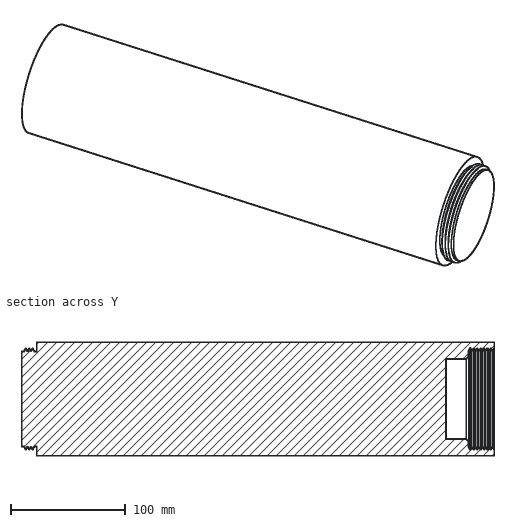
import cadquery as cq

total_length = 412.5
body_length = 399.5
body_radius = 99.5 / 2

crest_radius = 88.7 / 2
root_radius = 83.5 / 2
ring_pitch = 3.0

spigot_ring_count = 3
spigot_ring_start = body_length + 2.0

groove_count = 7
first_groove_start = ring_pitch / 2
socket_depth = first_groove_start + groove_count * ring_pitch

bore_radius = 69.7 / 2
bore_chamfer = 2.0
bore_end = 42.0


def cylinder(start, end, radius):
    return cq.Workplane("YZ", origin=(start, 0, 0)).circle(radius).extrude(end - start)


def cone(start, end, start_radius, end_radius):
    circle = cq.Workplane("YZ", origin=(start, 0, 0)).circle(start_radius)
    return circle.workplane(offset=end - start).circle(end_radius).loft()


def ringed_cylinder(start, ring_count):
    """Solid cylinder of root radius covered end to end with V rings."""
    profile = cq.Workplane("XY").moveTo(start, 0).lineTo(start, root_radius)
    for index in range(ring_count):
        left = start + index * ring_pitch
        profile = profile.lineTo(left + ring_pitch / 2, crest_radius).lineTo(left + ring_pitch, root_radius)
    end = start + ring_count * ring_pitch
    return profile.lineTo(end, 0).close().revolve(360, (0, 0, 0), (1, 0, 0))


body = cylinder(0, body_length, body_radius)

spigot = cylinder(body_length, total_length, root_radius)
spigot = spigot.union(ringed_cylinder(spigot_ring_start, spigot_ring_count))

lead_in = cone(0, first_groove_start, crest_radius, root_radius)
socket = lead_in.union(ringed_cylinder(first_groove_start, groove_count))

bore = cylinder(socket_depth, bore_end, bore_radius)
bore_mouth = cone(socket_depth, socket_depth + bore_chamfer, bore_radius + bore_chamfer, bore_radius)

result = body.union(spigot).cut(socket).cut(bore).cut(bore_mouth)